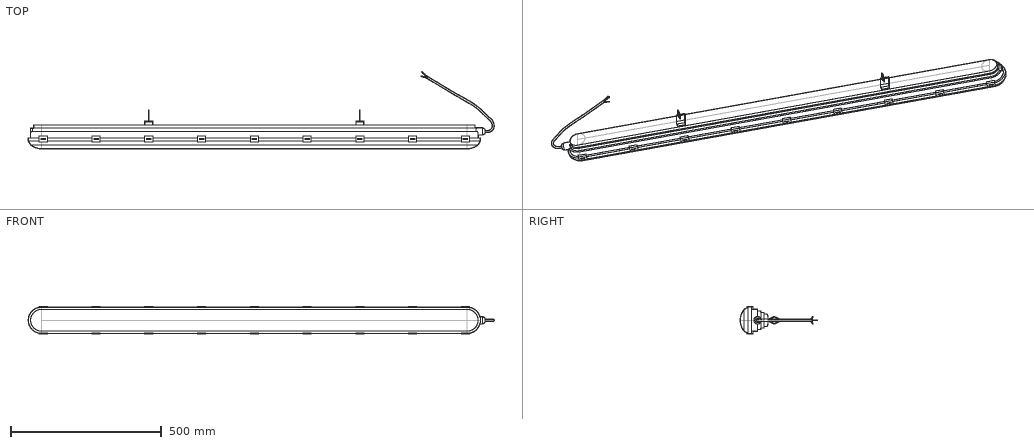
import cadquery as cq
import math

BODY_LENGTH = 1500.0
TOTAL_LENGTH = 1545.73
TOTAL_DEPTH = 256.28
TOTAL_HEIGHT = 89.97

CLIP_COUNT = 9
CLIP_PITCH = 175.0
CLIP_WIDTH = 27.0
CLIP_FRONT = 23.0
CLIP_BACK = 43.0
CLIP_OVERLAP = 4.0
CLIP_STANDOUT = 1.0
CLIP_GROOVE_LENGTH = 15.0
CLIP_GROOVE_WIDTH = 2.0
CLIP_GROOVE_DEPTH = 1.0

RIM_HALF = TOTAL_HEIGHT / 2 - CLIP_STANDOUT
RIM_FRONT = 26.0
RIM_BACK = 37.0
LENS_HALF = 36.0
LENS_DEPTH = 13.0
LENS_RADIUS = (LENS_HALF**2 + LENS_DEPTH**2) / (2 * LENS_DEPTH)
HOUSING_HALF = 37.0
HOUSING_STEP_DEPTH = 58.0
LEDGE_HALF = 31.0
LEDGE_DEPTH = 69.0
BACK_HALF = 26.0
BODY_DEPTH = 80.0
END_CENTRE = BODY_LENGTH / 2 - RIM_HALF

BRACKET_OFFSET = 350.0
BRACKET_WIDTH = CLIP_WIDTH
BRACKET_HALF = 21.0
BRACKET_TOP_HALF = 12.0
BRACKET_SHOULDER = 90.0
BRACKET_BACK = 93.0
HOOK_DIAMETER = 2.0
HOOK_HALF = 12.0
HOOK_TIP_HALF = 5.0
HOOK_ARM_DEPTH = 113.0
HOOK_TIP_DEPTH = 128.0

GLAND_DEPTH = 58.0
GLAND_DIAMETER = 25.0
GLAND_TIP_DIAMETER = 16.0
GLAND_START = 705.0
GLAND_SHOULDER = 757.0
GLAND_END = 765.0
PLUG_DIAMETER = 22.0
PLUG_END = -743.0
CABLE_DIAMETER = 7.0
CABLE_BEND_RADIUS = 18.0
CABLE_END_SLOPE = 0.6
CABLE_WAYPOINTS = [(776.0, 103.0), (748.0, 130.0), (678.0, 175.0), (572.0, 238.0)]

CONDUCTOR_DIAMETER = 2.5
CONDUCTOR_RADIUS = CONDUCTOR_DIAMETER / 2
MIDDLE_LEAN = 42.0
SIDE_TIP = (554.0, 241.0)
SIDE_TIP_HALF = 11.0


def half_profile():
    """Half cross-section from the mid plane out to the rim, drawn in (half height, depth)."""
    return (
        cq.Workplane("XY")
        .radiusArc((LENS_HALF, LENS_DEPTH), -LENS_RADIUS)
        .lineTo(RIM_HALF, RIM_FRONT)
        .lineTo(RIM_HALF, RIM_BACK)
        .lineTo(HOUSING_HALF, RIM_BACK)
        .lineTo(HOUSING_HALF, HOUSING_STEP_DEPTH)
        .lineTo(LEDGE_HALF, HOUSING_STEP_DEPTH)
        .lineTo(LEDGE_HALF, LEDGE_DEPTH)
        .lineTo(BACK_HALF, LEDGE_DEPTH)
        .lineTo(BACK_HALF, BODY_DEPTH)
        .lineTo(0, BODY_DEPTH)
        .close()
    )


def body():
    """Straight lamp body with both ends turned from the same half profile."""
    round_end = half_profile().revolve(360, (0, 0, 0), (0, 1, 0))
    half_bar = half_profile().extrude(END_CENTRE, both=True).rotate((0, 0, 0), (0, 1, 0), 90)
    bar = half_bar.union(half_bar.mirror("XY"), clean=False)
    for side in (-1, 1):
        bar = bar.union(round_end.translate((side * END_CENTRE, 0, 0)), clean=False)
    return bar


def clip():
    """One closing clip on the upper rim, with a short groove along its outer face."""
    depth = CLIP_BACK - CLIP_FRONT
    return (
        cq.Workplane("XY")
        .workplane(offset=HOUSING_HALF - CLIP_OVERLAP)
        .center(0, CLIP_FRONT + depth / 2)
        .rect(CLIP_WIDTH, depth)
        .extrude(TOTAL_HEIGHT / 2 - HOUSING_HALF + CLIP_OVERLAP)
        .faces(">Z")
        .workplane()
        .rect(CLIP_GROOVE_LENGTH, CLIP_GROOVE_WIDTH)
        .cutBlind(-CLIP_GROOVE_DEPTH)
    )


def rod(path_points, diameter):
    """Round rod along straight segments, with ball joints at the inner corners."""
    solid = None
    for start, end in zip(path_points, path_points[1:]):
        start = cq.Vector(*start)
        run = cq.Vector(*end) - start
        piece = cq.Workplane(cq.Solid.makeCylinder(diameter / 2, run.Length, start, run))
        solid = piece if solid is None else solid.union(piece)
    for corner in path_points[1:-1]:
        solid = solid.union(cq.Workplane("XY").sphere(diameter / 2).translate(corner))
    return solid


def bracket(x):
    """Shouldered block with a forked wire hook standing on its back face."""
    block = (
        cq.Workplane("YZ")
        .polyline([
            (LEDGE_DEPTH, -BRACKET_HALF),
            (BRACKET_SHOULDER, -BRACKET_HALF),
            (BRACKET_BACK, -BRACKET_TOP_HALF),
            (BRACKET_BACK, BRACKET_TOP_HALF),
            (BRACKET_SHOULDER, BRACKET_HALF),
            (LEDGE_DEPTH, BRACKET_HALF),
        ])
        .close()
        .extrude(BRACKET_WIDTH / 2, both=True)
    )
    hook = rod([
        (0, BRACKET_SHOULDER, 0),
        (0, HOOK_ARM_DEPTH, HOOK_HALF),
        (0, HOOK_TIP_DEPTH, HOOK_TIP_HALF),
        (0, HOOK_TIP_DEPTH, -HOOK_TIP_HALF),
        (0, HOOK_ARM_DEPTH, -HOOK_HALF),
        (0, BRACKET_SHOULDER, 0),
    ], HOOK_DIAMETER)
    return block.union(hook).translate((x, 0, 0))


def gland():
    """Turned cable gland with a tapered nose."""
    return (
        cq.Workplane("XY")
        .moveTo(GLAND_START, GLAND_DEPTH)
        .lineTo(GLAND_START, GLAND_DEPTH + GLAND_DIAMETER / 2)
        .lineTo(GLAND_SHOULDER, GLAND_DEPTH + GLAND_DIAMETER / 2)
        .lineTo(GLAND_END, GLAND_DEPTH + GLAND_TIP_DIAMETER / 2)
        .lineTo(GLAND_END, GLAND_DEPTH)
        .close()
        .revolve(360, (GLAND_START, GLAND_DEPTH, 0), (GLAND_END, GLAND_DEPTH, 0))
    )


def plug():
    """Round blanking plug, opposite the gland and on the same axis."""
    return (
        cq.Workplane("YZ", origin=(PLUG_END, GLAND_DEPTH, 0))
        .circle(PLUG_DIAMETER / 2)
        .extrude(-END_CENTRE - PLUG_END)
    )


def cable():
    """Supply cable that turns back on itself; the bend's outer side sets the total length."""
    bend_x = TOTAL_LENGTH - BODY_LENGTH / 2 - CABLE_DIAMETER / 2
    bend_centre_x = bend_x - CABLE_BEND_RADIUS
    bend_end = (bend_x, GLAND_DEPTH + CABLE_BEND_RADIUS)
    bend_direction = (0, 1)
    end_direction = (-1, CABLE_END_SLOPE)
    path = (
        cq.Workplane("XY")
        .moveTo(GLAND_SHOULDER, GLAND_DEPTH)
        .lineTo(bend_centre_x, GLAND_DEPTH)
        .tangentArcPoint(bend_end, relative=False)
        .spline(CABLE_WAYPOINTS, tangents=[bend_direction, end_direction], includeCurrent=True)
    )
    start = cq.Workplane("YZ", origin=(GLAND_SHOULDER, GLAND_DEPTH, 0))
    return start.circle(CABLE_DIAMETER / 2).sweep(path)


def conductors():
    """Three bare wires fanning out from just inside the cable end."""
    (near_x, near_y), (end_x, end_y) = CABLE_WAYPOINTS[-2:]
    slope = (end_y - near_y) / (end_x - near_x)
    root = (end_x + CABLE_DIAMETER, end_y + slope * CABLE_DIAMETER, 0)
    lean = math.radians(MIDDLE_LEAN)
    tip_y = TOTAL_DEPTH - CONDUCTOR_RADIUS * math.cos(lean)
    tip_x = root[0] - (tip_y - root[1]) / math.tan(lean)
    middle_tip = (tip_x, tip_y, 0)
    wires = rod([root, middle_tip], CONDUCTOR_DIAMETER)
    for side in (-1, 1):
        wires = wires.union(rod([root, (*SIDE_TIP, side * SIDE_TIP_HALF)], CONDUCTOR_DIAMETER))
    return wires


result = body()
for index in range(CLIP_COUNT):
    clip_x = (index - (CLIP_COUNT - 1) / 2) * CLIP_PITCH
    upper_clip = clip().translate((clip_x, 0, 0))
    result = result.union(upper_clip, clean=False)
    result = result.union(upper_clip.mirror("XY"), clean=False)
for side in (-1, 1):
    result = result.union(bracket(side * BRACKET_OFFSET), clean=False)
for part in (gland(), plug(), cable(), conductors()):
    result = result.union(part, clean=False)